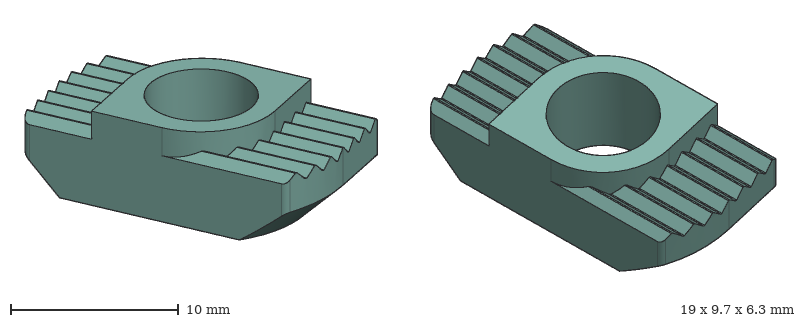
import cadquery as cq
import math

length = 19.0
width = 9.7
height = 6.3
half_length = length / 2
half_width = width / 2

wing_height = 5.02
bevel = 2.5
end_corner_radius = 0.5

boss_corner_radius = 5.0
hole_diameter = 6.8

ridge_pitch = 1.4
ridge_depth = 0.6
ridge_flat = ridge_pitch / 2 - ridge_depth
groove_count = 2 * math.ceil(half_width / ridge_pitch)


def wing_outline():
    """Plan of the wings: two opposite corners swept away by an arc about the origin."""
    arc_end_x = math.sqrt(half_length**2 - half_width**2)
    half_angle = math.asin(half_width / half_length) / 2
    arc_mid_x = half_length * math.cos(half_angle)
    arc_mid_y = half_length * math.sin(half_angle)
    return (
        cq.Workplane("XY")
        .moveTo(-half_length, 0)
        .lineTo(-half_length, -half_width)
        .lineTo(arc_end_x, -half_width)
        .threePointArc((arc_mid_x, -arc_mid_y), (half_length, 0))
        .lineTo(half_length, half_width)
        .lineTo(-arc_end_x, half_width)
        .threePointArc((-arc_mid_x, arc_mid_y), (-half_length, 0))
        .close()
    )


def end_corners(block):
    """The four outer vertical edges of the wings, without the arc tangent lines at y = 0."""
    corner_zone = cq.selectors.BoxSelector(
        (-length, half_width / 2, -height), (length, width, height)
    )
    opposite_zone = cq.selectors.BoxSelector(
        (-length, -width, -height), (length, -half_width / 2, height)
    )
    return block.edges("|Z").edges(corner_zone + opposite_zone)


def bevel_envelope():
    """Conical under the arc ends and flat under the straight ends."""
    end_profile = [
        (0, 0),
        (half_length - bevel, 0),
        (half_length, bevel),
        (half_length, wing_height),
        (0, wing_height),
    ]
    envelope = (
        cq.Workplane("XZ").polyline(end_profile).close().revolve(360, (0, 0, 0), (0, 1, 0))
    )
    straight_end = cq.Workplane("XZ").polyline(end_profile).close().extrude(-half_width)
    opposite_end = straight_end.rotate((0, 0, 0), (0, 0, 1), 180)
    return envelope.union(straight_end).union(opposite_end)


def groove(y):
    """Cutter for one groove between ridges, centred on y."""
    half_floor = ridge_flat / 2
    half_mouth = half_floor + ridge_depth
    floor_z = wing_height - ridge_depth
    return (
        cq.Workplane("YZ", origin=(-half_length, 0, 0))
        .polyline([
            (y - half_floor, floor_z),
            (y + half_floor, floor_z),
            (y + half_mouth, wing_height),
            (y - half_mouth, wing_height),
        ])
        .close()
        .extrude(length)
    )


def boss():
    """Boss column over the full height, filling the grooves beneath it."""
    block = cq.Workplane("XY").rect(width, width).extrude(height)
    for corner in ("<(1, -1, 0)", ">(1, -1, 0)"):
        block = block.edges("|Z").edges(corner).fillet(boss_corner_radius)
    return block


wings = end_corners(wing_outline().extrude(wing_height)).fillet(end_corner_radius)
wings = wings.intersect(bevel_envelope())

for index in range(groove_count):
    wings = wings.cut(groove((index - (groove_count - 1) / 2) * ridge_pitch))

hole = cq.Workplane("XY").circle(hole_diameter / 2).extrude(height)
result = wings.union(boss()).cut(hole)